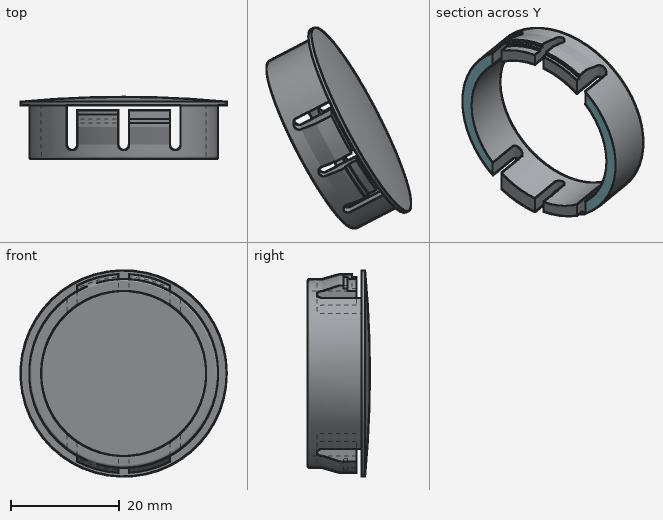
import cadquery as cq

total_depth = 11.5
flange_radius = 19.0
flange_front = 9.9
flange_back = 10.6

wall_radius = 17.4
bore_radius = 15.2
rim_fillet = 0.5

slot_width = 1.9
slot_pitch = 9.5
slot_bottom = 1.7
tab_tip = 9.05
tab_span = slot_pitch + slot_width / 2
tab_inner_side = slot_width / 2
tab_outer_side = slot_pitch - slot_width / 2

crest_radius = 18.3
step_radius = 17.82
ramp_start = 2.7
crest_start = 5.85
late_step = 8.2
early_step = 6.65
early_wall_step = 7.4


def revolve_profile(profile):
    return profile.close().revolve(360, (0, 0, 0), (0, 1, 0))


def spanning_box(x_min, x_max, y_min, y_max, z_min, z_max):
    size = (x_max - x_min, y_max - y_min, z_max - z_min)
    return cq.Workplane("XY").box(*size, centered=False).translate((x_min, y_min, z_min))


def make_cover():
    rise = total_depth - flange_back
    dome_radius = (flange_radius**2 + rise**2) / (2 * rise)
    mid_radius = flange_radius / 2
    dome_center = total_depth - dome_radius
    mid_height = dome_center + (dome_radius**2 - mid_radius**2) ** 0.5
    profile = (
        cq.Workplane("XY")
        .moveTo(0, flange_front)
        .lineTo(flange_radius, flange_front)
        .lineTo(flange_radius, flange_back)
        .threePointArc((mid_radius, mid_height), (0, total_depth))
    )
    return revolve_profile(profile)


def make_wall():
    ring = cq.Workplane("XZ").circle(wall_radius).circle(bore_radius).extrude(-flange_front)
    ring = ring.faces("<Y").edges(cq.selectors.RadiusNthSelector(-1)).fillet(rim_fillet)
    for side in (-1, 1):
        z_range = sorted((0, side * flange_radius))
        gap = spanning_box(-tab_span, tab_span, tab_tip, flange_front, *z_range)
        ring = ring.cut(gap)
        for x in (-slot_pitch, 0, slot_pitch):
            round_center = slot_bottom + slot_width / 2
            slot = spanning_box(
                x - slot_width / 2, x + slot_width / 2, round_center, flange_front, *z_range
            )
            slot_end = (
                cq.Workplane("XY")
                .center(x, round_center)
                .circle(slot_width / 2)
                .extrude(side * flange_radius)
            )
            ring = ring.cut(slot).cut(slot_end)
    return ring


def make_barb(x_side, z_side, steps):
    """Raised part of one tab; steps are (radius, Y) corners from crest to tip."""
    outline = [
        (bore_radius, ramp_start),
        (wall_radius, ramp_start),
        (crest_radius, crest_start),
        *steps,
        (bore_radius, tab_tip),
    ]
    ring = revolve_profile(cq.Workplane("XY").polyline(outline))
    x_range = sorted((x_side * tab_inner_side, x_side * tab_outer_side))
    z_range = sorted((0, z_side * flange_radius))
    return ring.intersect(spanning_box(*x_range, 0, tab_tip, *z_range))


plain_tip = [(crest_radius, tab_tip)]
single_step = [
    (crest_radius, late_step),
    (step_radius, late_step),
    (step_radius, tab_tip),
]
double_step = [
    (crest_radius, early_step),
    (step_radius, early_step),
    (step_radius, early_wall_step),
    (wall_radius, early_wall_step),
    (wall_radius, tab_tip),
]

tabs = [
    (-1, 1, single_step),
    (1, 1, double_step),
    (-1, -1, double_step),
    (1, -1, plain_tip),
]

result = make_cover().union(make_wall())
for x_side, z_side, steps in tabs:
    result = result.union(make_barb(x_side, z_side, steps))